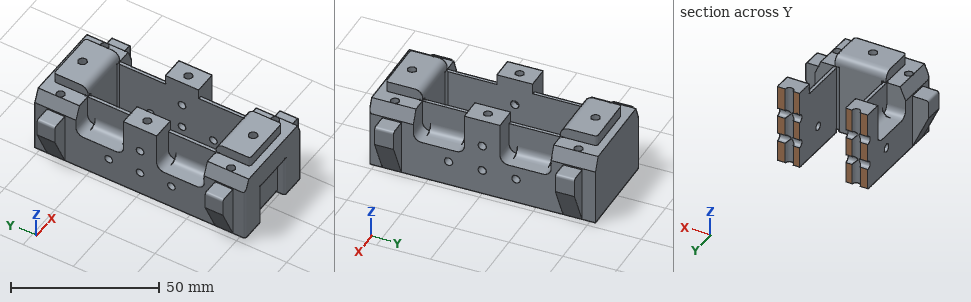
import cadquery as cq
import math

LENGTH = 84.0
WIDTH = 35.3
BODY_HEIGHT = 26.0
TOP_HEIGHT = 30.0
HALF_LENGTH = LENGTH / 2
HALF_WIDTH = WIDTH / 2
EDGE_RADIUS = 1.0
LARGE_RADIUS = 3.0

OPENING_LENGTH = 51.1
OPENING_WIDTH = 18.0
OPENING_END = OPENING_LENGTH / 2
RELIEF_RADIUS = 0.5
RELIEF_REACH = 1.0

BEVEL_WIDTH = 2.2
BEVEL_HEIGHT = 5.0

PAD_WIDTH = 20.0
PAD_OUTER_END = 39.15

POST_WIDTH = 13.3
NOTCH_FLOOR = 14.5
NOTCH_LENGTH = OPENING_END - POST_WIDTH / 2
NOTCH_CENTRE = (OPENING_END + POST_WIDTH / 2) / 2
WALL_THICKNESS = 1.3
WALL_OUTER_X = OPENING_WIDTH / 2 + WALL_THICKNESS

EAR_SPAN = 48.0
EAR_LENGTH = 7.05
EAR_CENTRE = 33.5
EAR_HEIGHT = 20.5
EAR_TAPER_TOP = 13.5

RECESS_WIDTH = 14.95
RECESS_HEIGHT = 16.9
RECESS_DEPTH = 3.0

HOLE_DIAMETER = 3.0
PAD_HOLE_DIAMETER = 3.2
END_HOLE_X = 13.95
END_HOLE_Y = 34.0
POST_HOLE_X = 13.0
LOW_HOLE_Z = 9.5
HIGH_HOLE_Z = 19.6
SIDE_HOLE_SPACING = 12.5

SIDES = (-1, 1)


def block(x_size, y_size, z_size):
    """Box centred on X and Y with its base on Z = 0."""
    return cq.Workplane("XY").box(x_size, y_size, z_size, centered=(True, True, False))


def make_body():
    """Bevelled block with its two front vertical edges rounded."""
    body = block(WIDTH, LENGTH, BODY_HEIGHT).edges("|Z and <Y").fillet(EDGE_RADIUS)
    section = (
        cq.Workplane("XZ", origin=(0, HALF_LENGTH, 0))
        .moveTo(-HALF_WIDTH, 0)
        .lineTo(HALF_WIDTH, 0)
        .lineTo(HALF_WIDTH, BODY_HEIGHT - BEVEL_HEIGHT)
        .lineTo(HALF_WIDTH - BEVEL_WIDTH, BODY_HEIGHT)
        .lineTo(BEVEL_WIDTH - HALF_WIDTH, BODY_HEIGHT)
        .lineTo(-HALF_WIDTH, BODY_HEIGHT - BEVEL_HEIGHT)
        .close()
        .extrude(LENGTH)
    )
    return body.intersect(section)


def make_pads():
    """Pads at both ends: outer corners rounded, inner top edges rolled over."""
    pads = block(PAD_WIDTH, 2 * PAD_OUTER_END, TOP_HEIGHT).edges("|Z").fillet(EDGE_RADIUS)
    pads = pads.cut(block(PAD_WIDTH, OPENING_LENGTH, TOP_HEIGHT))
    for side in SIDES:
        inner_edge = cq.selectors.NearestToPointSelector((0, side * OPENING_END, TOP_HEIGHT))
        pads = pads.edges(inner_edge).fillet(LARGE_RADIUS)
    return pads


def make_ears(side):
    """Pair of hooked ears on one side, tapering into the body at the base."""
    root_x = side * WALL_OUTER_X
    tip_x = side * EAR_SPAN / 2
    profile = (
        cq.Workplane("XZ")
        .moveTo(root_x, 0)
        .lineTo(side * HALF_WIDTH, 0)
        .lineTo(tip_x, EAR_TAPER_TOP)
        .lineTo(tip_x, EAR_HEIGHT)
        .lineTo(root_x, EAR_HEIGHT)
        .close()
        .extrude(EAR_LENGTH / 2, both=True)
    )
    top_edge = cq.selectors.NearestToPointSelector((tip_x, 0, EAR_HEIGHT))
    ear = profile.edges(top_edge).fillet(EDGE_RADIUS)
    return ear.translate((0, EAR_CENTRE, 0)).union(ear.translate((0, -EAR_CENTRE, 0)))


def make_opening():
    """Through opening plus the corner relief slots, which stop under the pads."""
    opening = block(OPENING_WIDTH, OPENING_LENGTH, TOP_HEIGHT)
    slot_length = 2 * (RELIEF_REACH + RELIEF_RADIUS)
    for x_side in SIDES:
        for y_side in SIDES:
            slot = (
                cq.Workplane("XY")
                .slot2D(slot_length, 2 * RELIEF_RADIUS, 45 * x_side * y_side)
                .extrude(BODY_HEIGHT)
                .translate((x_side * OPENING_WIDTH / 2, y_side * OPENING_END, 0))
            )
            opening = opening.union(slot)
    return opening


def make_notch(x_side, y_side):
    """Cutter for one side notch, rounded at its floor ends and along the inner wall."""
    depth = HALF_WIDTH - WALL_OUTER_X
    notch = (
        block(depth, NOTCH_LENGTH, TOP_HEIGHT - NOTCH_FLOOR)
        .edges("|X and <Z")
        .fillet(LARGE_RADIUS)
        .translate((x_side * (WALL_OUTER_X + depth / 2), y_side * NOTCH_CENTRE, NOTCH_FLOOR))
    )
    cove_length = NOTCH_LENGTH - 2 * LARGE_RADIUS
    centre_x = WALL_OUTER_X + LARGE_RADIUS
    centre_z = NOTCH_FLOOR + LARGE_RADIUS
    arc_offset = LARGE_RADIUS * math.sqrt(0.5)
    cove = (
        cq.Workplane("XZ")
        .moveTo(x_side * WALL_OUTER_X, NOTCH_FLOOR)
        .lineTo(x_side * centre_x, NOTCH_FLOOR)
        .threePointArc(
            (x_side * (centre_x - arc_offset), centre_z - arc_offset),
            (x_side * WALL_OUTER_X, centre_z),
        )
        .close()
        .extrude(cove_length / 2, both=True)
        .translate((0, y_side * NOTCH_CENTRE, 0))
    )
    return notch.cut(cove)


def cut_recess(part):
    """Front recess with rounded mouth sides and a rounded bottom edge on its back wall."""
    back_y = -HALF_LENGTH + RECESS_DEPTH
    recess = block(RECESS_WIDTH, RECESS_DEPTH, RECESS_HEIGHT).translate((0, back_y - RECESS_DEPTH / 2, 0))
    part = part.cut(recess)
    for side in SIDES:
        mouth_point = (side * RECESS_WIDTH / 2, -HALF_LENGTH, RECESS_HEIGHT / 2)
        part = part.edges(cq.selectors.NearestToPointSelector(mouth_point)).fillet(EDGE_RADIUS)
    return part.edges(cq.selectors.NearestToPointSelector((0, back_y, 0))).fillet(EDGE_RADIUS)


def vertical_holes(points, diameter):
    """Holes through the full height."""
    return cq.Workplane("XY").pushPoints(points).circle(diameter / 2).extrude(TOP_HEIGHT)


def side_holes():
    """Holes running across the whole width, through both side walls."""
    points = [(0, HIGH_HOLE_Z)]
    points += [(step * SIDE_HOLE_SPACING, LOW_HOLE_Z) for step in (-1, 0, 1)]
    return cq.Workplane("YZ").pushPoints(points).circle(HOLE_DIAMETER / 2).extrude(HALF_WIDTH, both=True)


result = make_body().union(block(WIDTH, POST_WIDTH, TOP_HEIGHT)).union(make_pads())

for side in SIDES:
    result = result.union(make_ears(side))

result = result.cut(make_opening())

for x_side in SIDES:
    for y_side in SIDES:
        result = result.cut(make_notch(x_side, y_side))

result = cut_recess(result)

end_points = [(x * END_HOLE_X, y * END_HOLE_Y) for x in SIDES for y in SIDES]
post_points = [(x * POST_HOLE_X, 0) for x in SIDES]
pad_points = [(0, y * END_HOLE_Y) for y in SIDES]
result = result.cut(vertical_holes(end_points + post_points, HOLE_DIAMETER))
result = result.cut(vertical_holes(pad_points, PAD_HOLE_DIAMETER))
result = result.cut(side_holes())